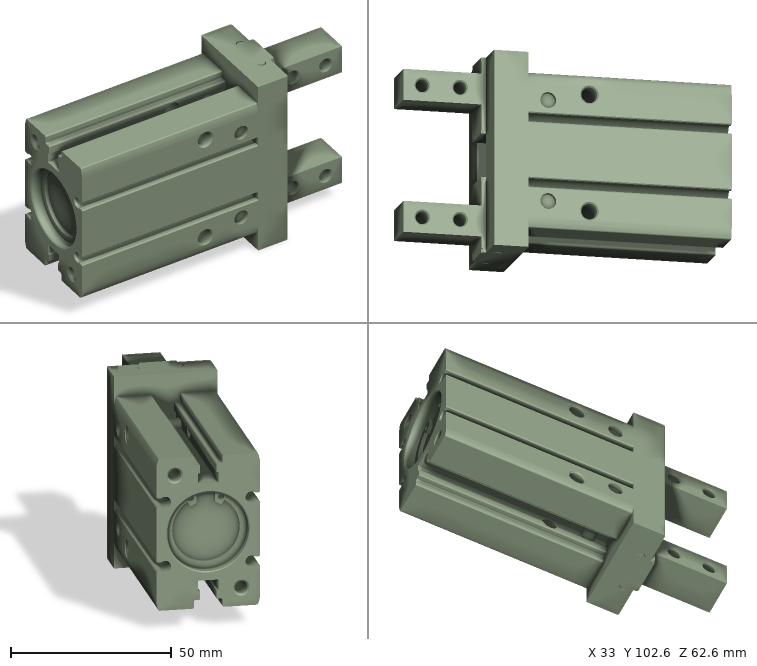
import cadquery as cq
import math


total_length = 102.6
width = 33.0
plate_height = 62.6

body_height = 49.7
plate_back_y = 65.1
plate_front_y = 76.2
plate_chamfer = 0.3

corner_bulge_height = 3.4
corner_bulge_radius = 8.0
corner_fillet = 0.5

slot_mouth_width = 9.0
slot_neck_width = 5.1
slot_base_width = 6.5
slot_mouth_depth = 2.8
slot_neck_depth = 5.5
slot_depth = 9.0
slot_fillet = 0.5
slot_lip_fillet = 0.4

groove_z = 10.5
groove_axis_depth = 2.8
groove_diameter = 3.7
groove_mouth = 2.8
groove_chamfer = 0.3

bore_diameter = 26.0
bore_chamfer = 0.3
bore_depth = 4.8
ring_thickness = 1.2
ring_inner_diameter = 21.5
ring_gap = 5.9
ring_eye_diameter = 2.0
ring_eye_x = 4.8
ring_eye_z = 10.1
ring_lug_outline = [
    (ring_gap / 2, 12.3), (ring_gap / 2, 8.5), (4.9, 7.5), (6.0, 9.0), (7.2, 11.3),
]

rear_hole_x = 10.6
rear_hole_z = 19.0
rear_hole_diameter = 4.1
rear_hole_mouth = 5.2
rear_hole_depth = 10.0

cross_hole_y = 45.6
cross_hole_z = 18.7
cross_hole_diameter = 5.0
cross_hole_mouth = 6.0
pin_y = 58.8
pin_z = 16.2
pin_hole_diameter = 5.0
pin_diameter = 4.9
pin_recess = 1.5

guide_width = 12.1
guide_floor_y = 70.6
guide_groove_y = 72.9
guide_groove_radius = 1.4

finger_base_inner_z = 7.0
finger_base_front_y = 77.7
rail_height = 2.7
rail_bulge = 0.9
bevel_width = 0.3
bevel_depth = 0.6
bevel_height = 1.2
lug_inner_z = 16.2
lug_outer_z = 26.2
lug_fillet = 0.3
lug_hole_diameter = 4.1
lug_hole_mouth = 5.0
lug_hole_y = [84.5, 96.6]

half_width = width / 2
half_height = body_height / 2


def box(x_range, y_range, z_range):
    """Axis-aligned box between the given limits."""
    (x0, x1), (y0, y1), (z0, z1) = x_range, y_range, z_range
    return cq.Workplane("XY").box(x1 - x0, y1 - y0, z1 - z0, centered=False).translate((x0, y0, z0))


def rear_sketch(y=0.0):
    """Workplane in the plane Y = y with local axes X and Z; a negative extrusion goes toward +Y."""
    return cq.Workplane("XZ", origin=(0, y, 0))


def mirrored_pair(shape, plane):
    """A shape together with its mirror image."""
    return shape.union(shape.mirror(plane))


def countersunk_cross_hole(y, z, diameter, mouth, span):
    """Cutter for a hole along X through a part of width span, chamfered at both mouths."""
    half = span / 2
    chamfer = (mouth - diameter) / 2
    outline = [
        (-half, 0), (-half, mouth / 2), (-half + chamfer, diameter / 2),
        (half - chamfer, diameter / 2), (half, mouth / 2), (half, 0),
    ]
    return (
        cq.Workplane("XY").polyline(outline).close()
        .revolve(360, (0, 0, 0), (1, 0, 0))
        .translate((0, y, z))
    )


def body_blank():
    """Long body block: side faces curve inward to the filleted top and bottom edges."""
    bulge_z = half_height - corner_bulge_height
    angle = math.asin(corner_bulge_height / corner_bulge_radius)

    def bulge_inset(turn):
        return corner_bulge_radius * (1 - math.cos(turn))

    edge_x = half_width - bulge_inset(angle)
    mid_x = half_width - bulge_inset(angle / 2)
    mid_z = bulge_z + corner_bulge_radius * math.sin(angle / 2)
    blank = (
        rear_sketch()
        .moveTo(-edge_x, half_height).lineTo(edge_x, half_height)
        .threePointArc((mid_x, mid_z), (half_width, bulge_z))
        .lineTo(half_width, -bulge_z)
        .threePointArc((mid_x, -mid_z), (edge_x, -half_height))
        .lineTo(-edge_x, -half_height)
        .threePointArc((-mid_x, -mid_z), (-half_width, -bulge_z))
        .lineTo(-half_width, bulge_z)
        .threePointArc((-mid_x, mid_z), (-edge_x, half_height))
        .close().extrude(-plate_back_y)
    )
    return blank.faces(">Z or <Z").edges("|Y").fillet(corner_fillet)


def t_slots():
    """Cutters for the two T-slots, with a filleted mouth and filleted lips."""
    top = half_height
    mouth = slot_mouth_width / 2
    neck = slot_neck_width / 2
    base = slot_base_width / 2
    lip_z = top - slot_mouth_depth
    fillet_mid = slot_fillet * (1 - math.sqrt(0.5))
    lip_mid = slot_lip_fillet * (1 - math.sqrt(0.5))

    half = (
        rear_sketch()
        .moveTo(0, top).lineTo(mouth + slot_fillet, top)
        .threePointArc((mouth + fillet_mid, top - fillet_mid), (mouth, top - slot_fillet))
        .lineTo(mouth, lip_z + slot_fillet)
        .threePointArc((mouth - fillet_mid, lip_z + fillet_mid), (mouth - slot_fillet, lip_z))
        .lineTo(neck + slot_lip_fillet, lip_z)
        .threePointArc((neck + lip_mid, lip_z - lip_mid), (neck, lip_z - slot_lip_fillet))
        .lineTo(neck, top - slot_neck_depth)
        .lineTo(base, top - slot_neck_depth)
        .lineTo(base, top - slot_depth)
        .lineTo(0, top - slot_depth)
        .close().extrude(-plate_back_y)
    )
    return mirrored_pair(mirrored_pair(half, "YZ"), "XY")


def sensor_grooves():
    """Cutters for the four round-bottomed grooves in the side faces."""
    axis_x = half_width - groove_axis_depth
    mouth = groove_mouth / 2
    round_part = rear_sketch().center(axis_x, groove_z).circle(groove_diameter / 2).extrude(-plate_back_y)
    neck = (
        rear_sketch().center(0, groove_z)
        .polyline([
            (axis_x, -mouth), (half_width - groove_chamfer, -mouth),
            (half_width, -mouth - groove_chamfer), (half_width, mouth + groove_chamfer),
            (half_width - groove_chamfer, mouth), (axis_x, mouth),
        ])
        .close().extrude(-plate_back_y)
    )
    return mirrored_pair(mirrored_pair(round_part.union(neck), "YZ"), "XY")


def rear_bore():
    """Cutter for the chamfered blind bore in the rear face."""
    radius = bore_diameter / 2
    return (
        cq.Workplane("XY")
        .polyline([
            (0, 0), (radius + bore_chamfer, 0), (radius, bore_chamfer), (radius, bore_depth), (0, bore_depth),
        ])
        .close().revolve(360, (0, 0, 0), (0, 1, 0))
    )


def retaining_ring():
    """Open ring lying on the bore floor, with a pierced lug at each end."""
    top_y = bore_depth - ring_thickness
    radius = bore_diameter / 2
    ring = rear_sketch(top_y).circle(radius).circle(ring_inner_diameter / 2).extrude(-ring_thickness)
    gap = box((-ring_gap / 2, ring_gap / 2), (top_y, bore_depth), (0, bore_diameter))
    lug = rear_sketch(top_y).polyline(ring_lug_outline).close().extrude(-ring_thickness)
    lugs = mirrored_pair(lug, "YZ").intersect(rear_sketch(top_y).circle(radius).extrude(-ring_thickness))
    eyes = (
        rear_sketch(top_y).pushPoints([(-ring_eye_x, ring_eye_z), (ring_eye_x, ring_eye_z)])
        .circle(ring_eye_diameter / 2).extrude(-ring_thickness)
    )
    return ring.cut(gap).union(lugs).cut(eyes)


def rear_holes():
    """Cutters for the two chamfered threaded holes in opposite corners of the rear face."""
    radius = rear_hole_diameter / 2
    mouth = rear_hole_mouth / 2
    hole = (
        cq.Workplane("XY")
        .polyline([
            (0, 0), (mouth, 0), (radius, mouth - radius), (radius, rear_hole_depth), (0, rear_hole_depth),
        ])
        .close().revolve(360, (0, 0, 0), (0, 1, 0))
    )
    upper = hole.translate((-rear_hole_x, 0, rear_hole_z))
    lower = hole.translate((rear_hole_x, 0, -rear_hole_z))
    return upper.union(lower)


def pin_cylinder(z, diameter, length):
    """Cylinder along X at a locating pin position."""
    return cq.Workplane("YZ", origin=(-length / 2, pin_y, z)).circle(diameter / 2).extrude(length)


def front_plate():
    """Front plate with the guide slot and its side grooves."""
    plate = box(
        (-half_width, half_width), (plate_back_y, plate_front_y), (-plate_height / 2, plate_height / 2)
    )
    plate = plate.faces(">Y").edges("|Z").chamfer(plate_chamfer)
    slot = box(
        (-guide_width / 2, guide_width / 2), (guide_floor_y, plate_front_y),
        (-plate_height / 2, plate_height / 2),
    )
    grooves = (
        cq.Workplane("XY", origin=(0, 0, finger_base_inner_z))
        .pushPoints([(-guide_width / 2, guide_groove_y), (guide_width / 2, guide_groove_y)])
        .circle(guide_groove_radius).extrude(plate_height / 2 - finger_base_inner_z)
    )
    return plate.cut(slot).cut(mirrored_pair(grooves, "XY"))


def make_housing():
    """Housing: slotted body, front plate, rear bore with its ring, and locating pins."""
    housing = body_blank().cut(t_slots()).cut(sensor_grooves()).union(front_plate())
    housing = housing.cut(rear_bore()).union(retaining_ring()).cut(rear_holes())
    for side in (1, -1):
        housing = housing.union(pin_cylinder(side * pin_z, pin_diameter, slot_base_width))
        pin_hole = pin_cylinder(side * pin_z, pin_hole_diameter, width)
        pin_length = width - 2 * pin_recess
        housing = housing.cut(pin_hole.cut(pin_cylinder(side * pin_z, pin_hole_diameter, pin_length)))
        housing = housing.cut(countersunk_cross_hole(
            cross_hole_y, side * cross_hole_z, cross_hole_diameter, cross_hole_mouth, width
        ))
    return housing


def base_bevels():
    """Cutters for the small bevels at the four front corners of the upper finger base."""
    edge_x = guide_width / 2
    bevel = (
        cq.Workplane("XY")
        .polyline([
            (edge_x, finger_base_front_y), (edge_x - bevel_width, finger_base_front_y),
            (edge_x, finger_base_front_y - bevel_depth),
        ])
        .close().extrude(bevel_height)
    )
    inner = bevel.translate((0, 0, finger_base_inner_z))
    outer = bevel.translate((0, 0, plate_height / 2 - bevel_height))
    return mirrored_pair(inner.union(outer), "YZ")


def make_finger(side):
    """Finger on the +Z side (side = 1) or the -Z side (side = -1)."""
    half_guide = guide_width / 2
    base_outer_z = plate_height / 2
    base = (
        cq.Workplane("XY", origin=(0, 0, finger_base_inner_z))
        .moveTo(-half_guide, guide_floor_y).lineTo(half_guide, guide_floor_y)
        .lineTo(half_guide, guide_groove_y - rail_height / 2)
        .threePointArc(
            (half_guide + rail_bulge, guide_groove_y), (half_guide, guide_groove_y + rail_height / 2)
        )
        .lineTo(half_guide, finger_base_front_y).lineTo(-half_guide, finger_base_front_y)
        .lineTo(-half_guide, guide_groove_y + rail_height / 2)
        .threePointArc(
            (-half_guide - rail_bulge, guide_groove_y), (-half_guide, guide_groove_y - rail_height / 2)
        )
        .close().extrude(base_outer_z - finger_base_inner_z)
    )
    lug = box((-half_guide, half_guide), (finger_base_front_y, total_length), (lug_inner_z, lug_outer_z))
    finger = base.union(lug)
    root_edge = cq.selectors.NearestToPointSelector((0, finger_base_front_y, lug_outer_z))
    finger = finger.edges(root_edge).fillet(lug_fillet)
    finger = finger.cut(base_bevels())
    lug_z = (lug_inner_z + lug_outer_z) / 2
    for y in lug_hole_y:
        finger = finger.cut(countersunk_cross_hole(y, lug_z, lug_hole_diameter, lug_hole_mouth, guide_width))
    return finger if side > 0 else finger.mirror("XY")


housing = make_housing()
fingers = [make_finger(side) for side in (1, -1)]

result = cq.Compound.makeCompound([housing.val(), *[finger.val() for finger in fingers]])